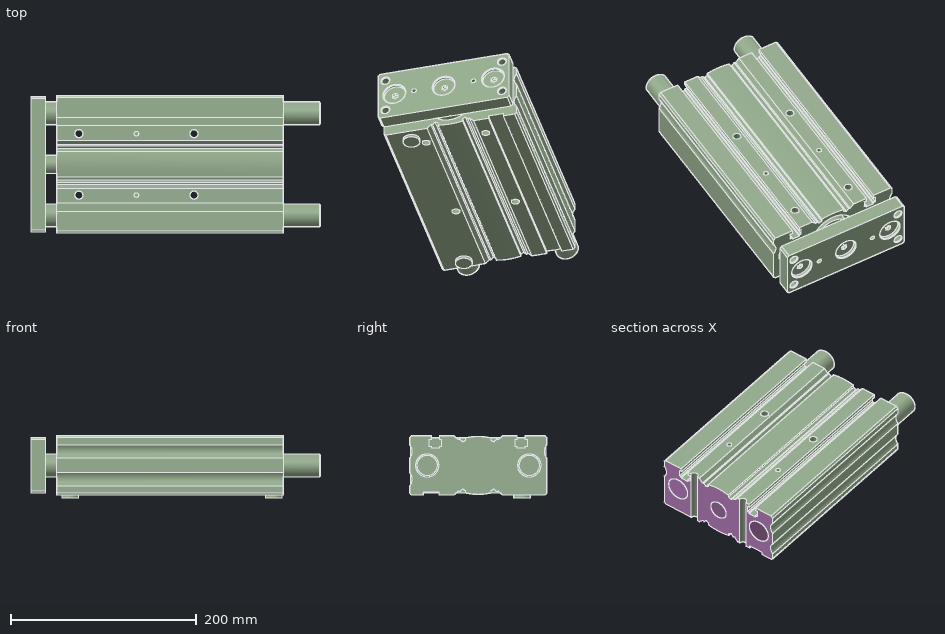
import cadquery as cq
import math


plate_thickness = 16.0
plate_width = 146.0
plate_height = 60.0
plate_chamfer = 2.2
bolt_recess_diameter = 24.0
bolt_recess_depth = 3.7
bolt_recess_chamfer = 0.78
bolt_hex_flats = 6.0
bolt_hex_depth = 3.0
quarter_turn = 90
corner_hole_diameter = 8.5
corner_hole_chamfer = 0.78
corner_hole_y = 65.0
corner_hole_z = 20.0
pin_hole_diameter = 5.0
pin_hole_y = 33.0

plate_gap = 12.0
housing_start = plate_thickness + plate_gap
housing_length = 244.0
housing_width = 148.0
housing_height = 64.0
housing_chamfer = 2.2
half_width = housing_width / 2
half_height = housing_height / 2

back_radius = 62.5
back_crown_drop = 0.5
back_crown_z = half_height - back_crown_drop
back_half_width = 13.7
notch_wall = 2.8
notch_floor_y = 17.0
notch_ridge_y = 19.5
pad_slope_end_y = 21.5
pad_inner_y = 26.0
notch_floor_slope = 30
notch_outer_slope = 48
cutter_clearance = 3.0

front_ring_outer_diameter = 50.5
front_ring_inner_diameter = 38.7
front_ring_depth = 11.0

side_groove_height = 14.5
side_groove_depth = 2.8
side_groove_z = 15.0
slot_y = 46.2
slot_neck_width = 8.7
slot_neck_depth = 4.5
slot_head_width = 13.5
slot_head_depth = 7.2
slot_depth = 13.5
base_groove_inner_y = 42.5
base_groove_outer_y = 59.0
base_groove_depth = 3.0

mount_hole_diameter = 8.5
mount_hole_first_x = 24.0
mount_hole_pitch = 124.0
mount_hole_y = pin_hole_y
pin_hole_depth = 10.0

guide_diameter = 25.0
guide_y = 55.0
guide_chamfer = 1.5
overall_length = 312.0
piston_rod_diameter = 20.0
piston_rod_entry = 31.2

plug_diameter = 18.0
plug_height = 3.0
plug_y = 47.0
front_plug_x = 14.7
rear_plug_inset = 10.3


def x_cylinder(diameter, start, end, y=0.0, z=0.0):
    """Round bar along X between two stations."""
    return cq.Workplane("YZ", origin=(start, y, z)).circle(diameter / 2).extrude(end - start)


def block(x_range, y_range, z_range):
    """Box given by its limits along each axis."""
    sizes = [high - low for low, high in (x_range, y_range, z_range)]
    corner = (x_range[0], y_range[0], z_range[0])
    return cq.Workplane("XY").box(*sizes, centered=False).translate(corner)


def face_hole(diameter, chamfer, depth, y, z):
    """Cutter for a countersunk hole in the front of the plate."""
    straight = x_cylinder(diameter, 0, depth, y, z)
    mouth = cq.Solid.makeCone(
        diameter / 2 + chamfer, diameter / 2, chamfer, pnt=cq.Vector(0, y, z), dir=cq.Vector(1, 0, 0)
    )
    return straight.union(cq.Workplane(mouth))


def hex_socket(y):
    """Cutter for the hexagon socket in the floor of a bolt recess, with a corner pointing up."""
    across_corners = bolt_hex_flats / math.cos(math.pi / 6)
    return (
        cq.Workplane("YZ", origin=(bolt_recess_depth, y, 0))
        .transformed(rotate=(0, 0, quarter_turn))
        .polygon(6, across_corners)
        .extrude(bolt_hex_depth)
    )


def make_plate_with_piston_rod():
    """Tooling plate carrying the piston rod on its back."""
    plate = (
        cq.Workplane("XY")
        .box(plate_thickness, plate_width, plate_height, centered=(False, True, True))
        .edges("|X")
        .chamfer(plate_chamfer)
    )
    for y in (-guide_y, 0, guide_y):
        plate = plate.cut(face_hole(bolt_recess_diameter, bolt_recess_chamfer, bolt_recess_depth, y, 0))
        plate = plate.cut(hex_socket(y))
    for side in (-1, 1):
        plate = plate.cut(x_cylinder(pin_hole_diameter, 0, plate_thickness, side * pin_hole_y))
        for level in (-1, 1):
            plate = plate.cut(
                face_hole(
                    corner_hole_diameter,
                    corner_hole_chamfer,
                    plate_thickness,
                    side * corner_hole_y,
                    level * corner_hole_z,
                )
            )
    rod = x_cylinder(piston_rod_diameter, plate_thickness, housing_start + piston_rod_entry)
    return plate.union(rod)


def make_guide_rod(y):
    """Guide rod from the back of the plate to the far end."""
    return x_cylinder(guide_diameter, plate_thickness, overall_length, y).faces(">X").chamfer(guide_chamfer)


def back_notches():
    """Cutter that shapes the raised back of the bore and the notches on both sides of it, at the top."""
    arc_rise = back_radius - math.sqrt(back_radius**2 - back_half_width**2)
    back_edge_z = back_crown_z - arc_rise
    wall_foot_z = back_edge_z - notch_wall
    floor_z = wall_foot_z - (notch_floor_y - back_half_width) * math.tan(math.radians(notch_floor_slope))
    ridge_z = floor_z + (notch_ridge_y - notch_floor_y) * math.tan(math.radians(notch_outer_slope))
    slope_end_z = half_height - (pad_inner_y - pad_slope_end_y)
    right_side = [
        (back_half_width, wall_foot_z),
        (notch_floor_y, floor_z),
        (notch_ridge_y, ridge_z),
        (pad_slope_end_y, slope_end_z),
        (pad_inner_y, half_height),
    ]
    left_side = [(-y, z) for y, z in reversed(right_side)]
    clearance_z = half_height + cutter_clearance
    return (
        cq.Workplane("YZ", origin=(housing_start, 0, 0))
        .moveTo(-back_half_width, back_edge_z)
        .threePointArc((0, back_crown_z), (back_half_width, back_edge_z))
        .polyline(right_side, includeCurrent=True)
        .lineTo(pad_inner_y, clearance_z)
        .lineTo(-pad_inner_y, clearance_z)
        .polyline(left_side, includeCurrent=True)
        .close()
        .extrude(housing_length)
    )


def front_ring():
    """Cutter for the ring-shaped recess in the front of the housing."""
    return (
        cq.Workplane("YZ", origin=(housing_start, 0, 0))
        .circle(front_ring_outer_diameter / 2)
        .circle(front_ring_inner_diameter / 2)
        .extrude(front_ring_depth)
    )


def side_groove(z):
    """Cutter for one rounded groove along the -Y side."""
    return (
        cq.Workplane("YZ", origin=(housing_start, -half_width, z))
        .moveTo(0, -side_groove_height / 2)
        .threePointArc((side_groove_depth, 0), (0, side_groove_height / 2))
        .close()
        .extrude(housing_length)
    )


def t_slot(y):
    """Cutter for one T-slot along the top, whose neck width carries on as a channel in its floor."""
    length = (housing_start, housing_start + housing_length)
    neck_floor = half_height - slot_neck_depth
    neck_sides = (y - slot_neck_width / 2, y + slot_neck_width / 2)
    head_sides = (y - slot_head_width / 2, y + slot_head_width / 2)
    neck = block(length, neck_sides, (half_height - slot_depth, half_height))
    head = block(length, head_sides, (neck_floor - slot_head_depth, neck_floor))
    return neck.union(head)


def vertical_hole(diameter, x, y, depth):
    """Cutter for a hole going down from the top of the housing, x counted from its front."""
    return (
        cq.Workplane("XY", origin=(housing_start + x, y, half_height)).circle(diameter / 2).extrude(-depth)
    )


def make_housing():
    """Extruded housing with its grooves, bores and mounting holes."""
    housing = (
        cq.Workplane("XY", origin=(housing_start, 0, 0))
        .box(housing_length, housing_width, housing_height, centered=(False, True, True))
        .edges("|X")
        .chamfer(housing_chamfer)
    )

    notches = back_notches()
    housing = housing.cut(notches).cut(notches.mirror("XY"))
    upper_groove = side_groove(side_groove_z)
    housing = housing.cut(upper_groove).cut(upper_groove.mirror("XZ"))

    housing = housing.cut(side_groove(-side_groove_z))
    housing = housing.cut(
        block(
            (housing_start, housing_start + housing_length),
            (-base_groove_outer_y, -base_groove_inner_y),
            (-half_height, -half_height + base_groove_depth),
        )
    )

    pin_hole_x = mount_hole_first_x + mount_hole_pitch / 2
    for side in (-1, 1):
        housing = housing.cut(t_slot(side * slot_y))
        y = side * mount_hole_y
        housing = housing.cut(vertical_hole(pin_hole_diameter, pin_hole_x, y, pin_hole_depth))
        for x in (mount_hole_first_x, mount_hole_first_x + mount_hole_pitch):
            housing = housing.cut(vertical_hole(mount_hole_diameter, x, y, housing_height))
        housing = housing.cut(
            x_cylinder(guide_diameter, housing_start, housing_start + housing_length, side * guide_y)
        )
    housing = housing.cut(front_ring())
    return housing.cut(x_cylinder(piston_rod_diameter, housing_start, housing_start + piston_rod_entry))


def make_plug(x):
    """Round port plug seated on the underside of the housing."""
    return (
        cq.Workplane("XY", origin=(housing_start + x, plug_y, -half_height))
        .circle(plug_diameter / 2)
        .extrude(-plug_height)
    )


housing = make_housing()
plate_with_piston_rod = make_plate_with_piston_rod()
guide_rods = [make_guide_rod(y) for y in (-guide_y, guide_y)]
plugs = [make_plug(x) for x in (front_plug_x, housing_length - rear_plug_inset)]

result = cq.Compound.makeCompound(
    [
        housing.val(),
        plate_with_piston_rod.val(),
        *[rod.val() for rod in guide_rods],
        *[plug.val() for plug in plugs],
    ]
)